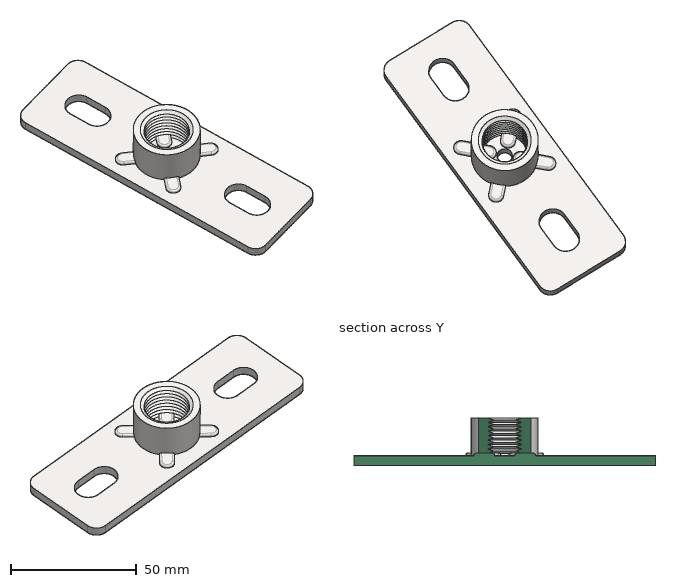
import cadquery as cq

PLATE_LENGTH = 120.0
PLATE_WIDTH = 40.0
PLATE_THICKNESS = 4.0
CORNER_RADIUS = 5.0
CENTRE_HOLE_DIAMETER = 6.0

SLOT_LENGTH = 20.0
SLOT_WIDTH = 11.0
SLOT_SPACING = 79.0
SLOT_PAIR_OFFSET = 0.5

RIB_COUNT = 4
RIB_WIDTH = 6.0
RIB_HEIGHT = 1.1
RIB_EDGE_RADIUS = 0.9
RIB_INNER_REACH = 3.5
RIB_OUTER_REACH = 20.6
RIB_FIRST_ANGLE = 45.0

OVERALL_HEIGHT = 19.0
SOCKET_DIAMETER = 26.6
SOCKET_HEIGHT = OVERALL_HEIGHT - PLATE_THICKNESS
THREAD_ROOT_DIAMETER = 21.0
THREAD_CREST_DIAMETER = 18.0
GROOVE_COUNT = 8
LEAD_IN_GROOVES = 0.5
THREAD_PITCH = SOCKET_HEIGHT / (GROOVE_COUNT + LEAD_IN_GROOVES)


def make_ribs():
    """Four round-ended ribs set radially about the centre, with rounded top edges."""
    rib_length = RIB_OUTER_REACH - RIB_INNER_REACH
    rib_centre = (RIB_OUTER_REACH + RIB_INNER_REACH) / 2
    rib = (
        cq.Workplane("XY")
        .center(rib_centre, 0)
        .slot2D(rib_length, RIB_WIDTH)
        .extrude(RIB_HEIGHT)
        .faces(">Z")
        .edges()
        .fillet(RIB_EDGE_RADIUS)
        .translate((0, 0, PLATE_THICKNESS))
    )
    ribs = cq.Workplane("XY")
    for index in range(RIB_COUNT):
        angle = RIB_FIRST_ANGLE + index * 360 / RIB_COUNT
        ribs = ribs.add(rib.rotate((0, 0, 0), (0, 0, 1), angle))
    return ribs


def make_plate(ribs):
    """Rounded plate with a centre hole, two slots and the ribs standing on its top."""
    plate = (
        cq.Workplane("XY")
        .rect(PLATE_LENGTH, PLATE_WIDTH)
        .extrude(PLATE_THICKNESS)
        .edges("|Z")
        .fillet(CORNER_RADIUS)
    )
    hole = cq.Workplane("XY").circle(CENTRE_HOLE_DIAMETER / 2).extrude(PLATE_THICKNESS)
    slots = (
        cq.Workplane("XY")
        .center(SLOT_PAIR_OFFSET, 0)
        .pushPoints([(-SLOT_SPACING / 2, 0), (SLOT_SPACING / 2, 0)])
        .slot2D(SLOT_LENGTH, SLOT_WIDTH)
        .extrude(PLATE_THICKNESS)
    )
    plate = plate.cut(hole).cut(slots)
    for rib in ribs.vals():
        plate = plate.union(cq.Workplane(rib))
    return plate


def make_socket(ribs):
    """Round socket bored with ring-shaped V grooves and notched to sit over the ribs."""
    outer_radius = SOCKET_DIAMETER / 2
    root_radius = THREAD_ROOT_DIAMETER / 2
    crest_radius = THREAD_CREST_DIAMETER / 2

    profile = (
        cq.Workplane("XZ")
        .moveTo(crest_radius, PLATE_THICKNESS)
        .lineTo(outer_radius, PLATE_THICKNESS)
        .lineTo(outer_radius, OVERALL_HEIGHT)
        .lineTo(root_radius, OVERALL_HEIGHT)
    )
    for index in range(GROOVE_COUNT):
        crest_height = OVERALL_HEIGHT - (index + LEAD_IN_GROOVES) * THREAD_PITCH
        root_height = crest_height - THREAD_PITCH / 2
        profile = profile.lineTo(crest_radius, crest_height)
        profile = profile.lineTo(root_radius, root_height)
    socket = profile.close().revolve(360, (0, 0, 0), (0, 1, 0))

    for rib in ribs.vals():
        socket = socket.cut(cq.Workplane(rib))
    return socket


all_ribs = make_ribs()
base_plate = make_plate(all_ribs)
threaded_socket = make_socket(all_ribs)

result = cq.Compound.makeCompound([base_plate.val(), threaded_socket.val()])